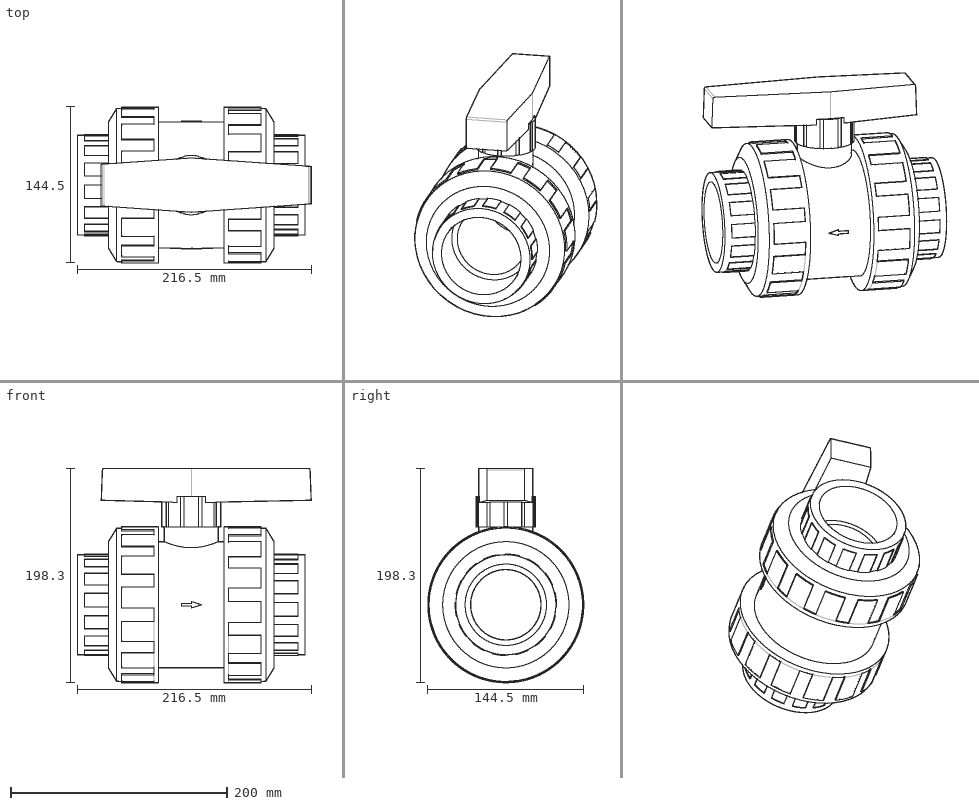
import cadquery as cq
import math


overall_length = 216.5
overall_height = 198.3

body_radius = 58.5
pipe_half_length = 105.5
pipe_radius = 46.3
pipe_rib_radius = 47.0
pipe_rib_end = 99.0
socket_radius = 37.7
socket_depth = 44.2
bore_radius = 32.5

nut_inner_x = 30.0
nut_outer_x = 76.6
nut_chamfer_length = 7.5
nut_diameter = 144.5
nut_radius = nut_diameter / 2
nut_groove_radius = 71.0
nut_groove_inner_x = 34.6
nut_groove_outer_x = 64.5
nut_chamfer_radius = body_radius

grip_count = 14
grip_pitch = 360 / grip_count
grip_gap_angle = 10.0
grip_rib_angle = grip_pitch - grip_gap_angle
grip_phase = 5.3

stem_radius = 25.1
collar_radius = 27.5
collar_bottom = 72.0
collar_top = 100.2
collar_groove_count = 10
collar_groove_pitch = 360 / collar_groove_count
collar_groove_angle = 7.0
collar_groove_depth = 0.5

handle_left = -83.4
handle_right = overall_length - pipe_half_length
handle_top = overall_height - nut_radius
handle_bottom_end = 96.5
handle_bottom_middle = 94.5
handle_middle_half_width = 25.1
handle_side_slope = 0.07
handle_end_draft = 1.0
handle_edge_fillet = 1.7

arrow_height = 0.6
arrow_tail_x = -9.0
arrow_neck_x = 0.5
arrow_tip_x = 9.5
arrow_shaft_half_width = 1.3
arrow_head_half_width = 2.8


def cylinder_x(radius, start_x, end_x):
    """Cylinder on the pipe axis between two X positions."""
    return cq.Workplane("YZ").workplane(offset=start_x).circle(radius).extrude(end_x - start_x)


def sector(inner_radius, outer_radius, middle_angle, angle):
    """Points around a ring sector: its four corners and the middle of each arc."""
    def at(radius, degrees):
        turn = math.radians(degrees)
        return (radius * math.cos(turn), radius * math.sin(turn))

    start = middle_angle - angle / 2
    end = middle_angle + angle / 2
    return [
        at(inner_radius, start),
        at(outer_radius, start),
        at(outer_radius, middle_angle),
        at(outer_radius, end),
        at(inner_radius, end),
        at(inner_radius, middle_angle),
    ]


def sector_prism(plane, start, length, inner_radius, outer_radius, middle_angle, angle):
    """Ring sector extruded along the normal of the plane."""
    points = sector(inner_radius, outer_radius, middle_angle, angle)
    return (
        cq.Workplane(plane)
        .workplane(offset=start)
        .moveTo(*points[0])
        .lineTo(*points[1])
        .threePointArc(points[2], points[3])
        .lineTo(*points[4])
        .threePointArc(points[5], points[0])
        .close()
        .extrude(length)
    )


def grip_ribs(start_x, end_x, inner_radius, outer_radius):
    """Ring of raised ribs around the pipe axis."""
    ribs = cq.Workplane("YZ")
    for index in range(grip_count):
        angle = 180 - grip_phase + index * grip_pitch
        ribs = ribs.add(
            sector_prism("YZ", start_x, end_x - start_x, inner_radius, outer_radius, angle, grip_rib_angle)
        )
    return ribs.combine()


def union_end():
    """Nut and pipe end on the -X side."""
    chamfer_x = nut_outer_x - nut_chamfer_length
    nut = (
        cq.Workplane("XY")
        .moveTo(-nut_inner_x, 0)
        .lineTo(-nut_inner_x, nut_radius)
        .lineTo(-nut_groove_inner_x, nut_radius)
        .lineTo(-nut_groove_inner_x, nut_groove_radius)
        .lineTo(-chamfer_x, nut_groove_radius)
        .lineTo(-nut_outer_x, nut_chamfer_radius)
        .lineTo(-nut_outer_x, 0)
        .close()
        .revolve(360, (0, 0, 0), (1, 0, 0))
    )
    nut_ribs = grip_ribs(-nut_groove_outer_x, -nut_groove_inner_x, body_radius, nut_radius)
    pipe = cylinder_x(pipe_radius, -pipe_half_length, -nut_inner_x)
    pipe_ribs = grip_ribs(-pipe_rib_end, -nut_inner_x, socket_radius, pipe_rib_radius)
    return nut.union(nut_ribs).union(pipe).union(pipe_ribs)


def stem():
    """Round stem with the grooved collar that carries the handle."""
    post = cq.Workplane("XY").circle(stem_radius).extrude(collar_top)
    collar_height = collar_top - collar_bottom
    collar = cq.Workplane("XY").workplane(offset=collar_bottom).circle(collar_radius).extrude(collar_height)
    for index in range(collar_groove_count):
        groove = sector_prism(
            "XY",
            collar_bottom,
            collar_height,
            collar_radius - collar_groove_depth,
            collar_radius + collar_groove_depth,
            index * collar_groove_pitch,
            collar_groove_angle,
        )
        collar = collar.cut(groove)
    return post.union(collar)


def handle():
    """Bar that tapers from the stem towards both ends, with drafted end faces."""
    left_half_width = handle_middle_half_width + handle_side_slope * handle_left
    right_half_width = handle_middle_half_width - handle_side_slope * handle_right
    plan = (
        cq.Workplane("XY")
        .workplane(offset=handle_bottom_middle)
        .polyline([
            (handle_left, -left_half_width),
            (0, -handle_middle_half_width),
            (handle_right, -right_half_width),
            (handle_right, right_half_width),
            (0, handle_middle_half_width),
            (handle_left, left_half_width),
        ])
        .close()
        .extrude(handle_top - handle_bottom_middle)
    )
    profile = (
        cq.Workplane("XZ")
        .polyline([
            (handle_left, handle_bottom_end),
            (0, handle_bottom_middle),
            (handle_right, handle_bottom_end),
            (handle_right - handle_end_draft, handle_top),
            (handle_left + handle_end_draft, handle_top),
        ])
        .close()
        .extrude(handle_middle_half_width, both=True)
    )
    bar = plan.intersect(profile)
    return bar.faces(">Z").edges("|Y").fillet(handle_edge_fillet)


def flow_arrow():
    """Raised arrow pointing along +X on the -Y side of the body."""
    outline = [
        (arrow_tail_x, -arrow_shaft_half_width),
        (arrow_neck_x, -arrow_shaft_half_width),
        (arrow_neck_x, -arrow_head_half_width),
        (arrow_tip_x, 0),
        (arrow_neck_x, arrow_head_half_width),
        (arrow_neck_x, arrow_shaft_half_width),
        (arrow_tail_x, arrow_shaft_half_width),
    ]
    return cq.Workplane("XZ").polyline(outline).close().extrude(body_radius + arrow_height)


left_end = union_end()
right_end = left_end.rotate((0, 0, 0), (0, 0, 1), 180)
arrow = flow_arrow()
opposite_arrow = arrow.mirror("XZ")

result = (
    cylinder_x(body_radius, -nut_inner_x, nut_inner_x)
    .union(left_end)
    .union(right_end)
    .union(arrow)
    .union(opposite_arrow)
    .union(stem())
    .cut(cylinder_x(bore_radius, -pipe_half_length, pipe_half_length))
    .cut(cylinder_x(socket_radius, -pipe_half_length, socket_depth - pipe_half_length))
    .cut(cylinder_x(socket_radius, pipe_half_length - socket_depth, pipe_half_length))
    .union(handle())
)